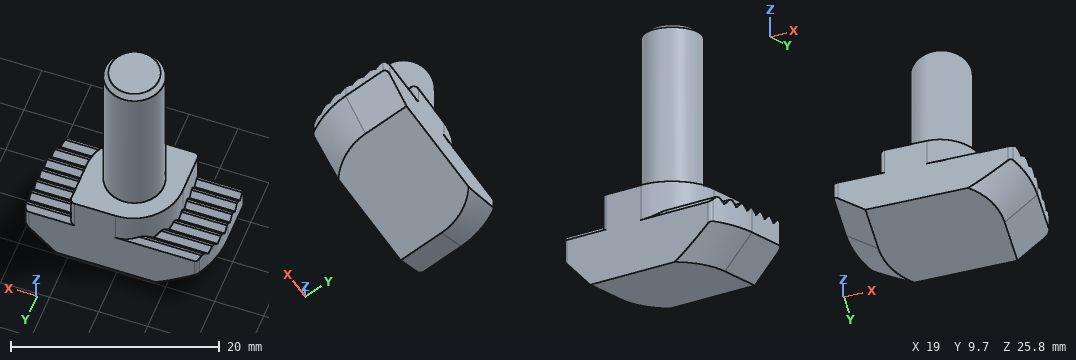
import cadquery as cq
import math

total_height = 25.8
head_length = 19.0
width = 9.7

head_top = 5.8
bevel = 3.25
edge_round = 0.5

neck_top = 8.83
neck_large_round = 5.0

shank_diameter = 6.0
shank_chamfer = 0.5

groove_pitch = 1.4
groove_depth = 0.57
groove_count = 8

half_length = head_length / 2
half_width = width / 2
bottom_half_length = half_length - bevel
arc_corner_x = math.sqrt(half_length**2 - half_width**2)
arc_mid_angle = math.asin(half_width / half_length) / 2
arc_mid_x = half_length * math.cos(arc_mid_angle)
arc_mid_y = half_length * math.sin(arc_mid_angle)
groove_floor = head_top - groove_depth


def make_head_outline():
    """Rectangle with two opposite ends rounded about the bolt axis, all corners eased."""
    return (
        cq.Workplane("XY")
        .moveTo(-half_length, 0)
        .lineTo(-half_length, -half_width)
        .lineTo(arc_corner_x, -half_width)
        .threePointArc((arc_mid_x, -arc_mid_y), (half_length, 0))
        .lineTo(half_length, half_width)
        .lineTo(-arc_corner_x, half_width)
        .threePointArc((-arc_mid_x, arc_mid_y), (-half_length, 0))
        .close()
        .extrude(head_top)
        .edges("|Z and (>Y or <Y)")
        .fillet(edge_round)
    )


def make_bevelled_envelope():
    """Cone below the rounded ends and flat 45 degree bevels below the square ends."""
    half_profile = [
        (0, 0),
        (bottom_half_length, 0),
        (half_length, bevel),
        (half_length, head_top),
        (0, head_top),
    ]
    cone = cq.Workplane("XZ").polyline(half_profile).close().revolve(360, (0, 0), (0, 1))
    square_end = cq.Workplane("XZ").polyline(half_profile).close().extrude(-half_width)
    opposite_end = square_end.rotate((0, 0, 0), (0, 0, 1), 180)
    return cone.union(square_end).union(opposite_end)


def cut_serrations(head):
    """Cut evenly spaced 45 degree V grooves, the first one on the -Y face."""
    for index in range(groove_count):
        valley_y = -half_width + index * groove_pitch
        groove = (
            cq.Workplane("YZ")
            .moveTo(valley_y, groove_floor)
            .lineTo(valley_y + groove_depth, head_top)
            .lineTo(valley_y - groove_depth, head_top)
            .close()
            .extrude(half_length, both=True)
        )
        head = head.cut(groove)
    return head


def make_neck():
    """Square neck with two large and two small rounded corners, rising from the groove floor."""
    neck = (
        cq.Workplane("XY")
        .workplane(offset=groove_floor)
        .rect(width, width)
        .extrude(neck_top - groove_floor)
    )
    mid_height = (groove_floor + neck_top) / 2
    for side in (-1, 1):
        square_corner = (side * half_width, side * half_width, mid_height)
        neck = neck.edges(cq.NearestToPointSelector(square_corner)).fillet(edge_round)
        rounded_corner = (side * half_width, -side * half_width, mid_height)
        neck = neck.edges(cq.NearestToPointSelector(rounded_corner)).fillet(neck_large_round)
    return neck


def make_shank():
    return (
        cq.Workplane("XY")
        .workplane(offset=neck_top)
        .circle(shank_diameter / 2)
        .extrude(total_height - neck_top)
        .faces(">Z")
        .chamfer(shank_chamfer)
    )


head = cut_serrations(make_head_outline().intersect(make_bevelled_envelope()))
result = head.union(make_neck()).union(make_shank())